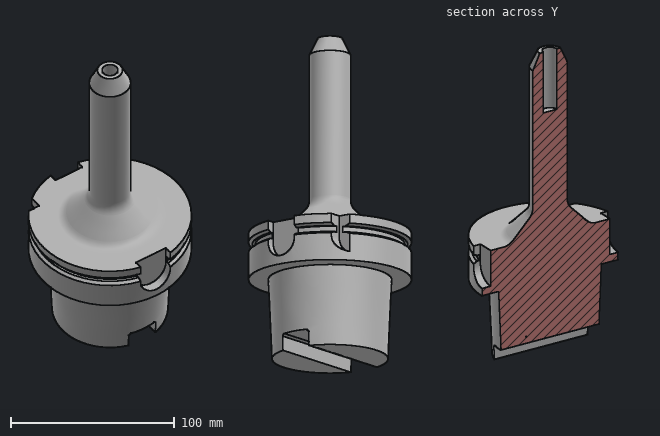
import cadquery as cq
import math

total_height = 202.5
flange_bottom = 50.0
flange_top = 79.1

shank_bottom_radius = 35.6
shank_top_radius = 37.8
drive_slot_width = 20.0
drive_slot_height = 10.3
drive_slot_chamfer = 1.5

flange_radius = 50.0
groove_floor_radius = 46.0
groove_bottom = 68.5
groove_top = 72.0
groove_lip_width = 2.2
groove_lip_height = 1.5

notch_bottom = 55.3
left_notch_width = 20.0
left_notch_floor = 44.0
right_notch_width = 22.3
right_notch_floor = 43.7
corner_notch_inset = 31.2

neck_base_radius = 34.0
blend_radius = 10.0
cone_angle = math.radians(45)

stem_radius = 12.8
tip_radius = 7.7
tip_height = 10.5
bore_radius = 4.9
bore_depth = 40.5


def make_body():
    """Revolve the outer profile around the Z axis."""
    blend_sine = blend_radius * math.sin(cone_angle)
    blend_rise = blend_radius * (1 - math.cos(cone_angle))
    half_sine = blend_radius * math.sin(cone_angle / 2)
    half_rise = blend_radius * (1 - math.cos(cone_angle / 2))

    cone_base_radius = neck_base_radius - blend_sine
    cone_base = flange_top + blend_rise
    cone_top_radius = stem_radius + blend_rise
    cone_top = cone_base + (cone_base_radius - cone_top_radius) * math.tan(cone_angle)
    stem_bottom = cone_top + blend_sine
    lip_radius = flange_radius - groove_lip_width

    profile = (
        cq.Workplane("XZ")
        .moveTo(0, 0)
        .lineTo(shank_bottom_radius, 0)
        .lineTo(shank_top_radius, flange_bottom)
        .lineTo(flange_radius, flange_bottom)
        .lineTo(flange_radius, groove_bottom - groove_lip_height)
        .lineTo(lip_radius, groove_bottom)
        .lineTo(groove_floor_radius, groove_bottom)
        .lineTo(groove_floor_radius, groove_top)
        .lineTo(lip_radius, groove_top)
        .lineTo(flange_radius, groove_top + groove_lip_height)
        .lineTo(flange_radius, flange_top)
        .lineTo(neck_base_radius, flange_top)
        .threePointArc(
            (neck_base_radius - half_sine, flange_top + half_rise),
            (cone_base_radius, cone_base),
        )
        .lineTo(cone_top_radius, cone_top)
        .threePointArc(
            (stem_radius + half_rise, stem_bottom - half_sine),
            (stem_radius, stem_bottom),
        )
        .lineTo(stem_radius, total_height - tip_height)
        .lineTo(tip_radius, total_height)
        .lineTo(0, total_height)
        .close()
    )
    return profile.revolve(360, (0, 0, 0), (0, 1, 0))


def make_notch(start_x, end_x, center_y, width):
    """Cutter running along X: a slot open at the top with a half-round bottom."""
    radius = width / 2
    arc_height = notch_bottom + radius
    return (
        cq.Workplane("YZ", origin=(start_x, 0, 0))
        .moveTo(center_y - radius, flange_top)
        .lineTo(center_y - radius, arc_height)
        .threePointArc((center_y, notch_bottom), (center_y + radius, arc_height))
        .lineTo(center_y + radius, flange_top)
        .close()
        .extrude(end_x - start_x)
    )


def make_drive_slot():
    """Cutter for the slot across the shank end, with chamfered upper corners."""
    return (
        cq.Workplane("XY")
        .box(2 * flange_radius, drive_slot_width, drive_slot_height, centered=(True, True, False))
        .edges("|X and >Z")
        .chamfer(drive_slot_chamfer)
    )


def make_bore():
    """Cutter for the blind bore in the tip of the stem."""
    return (
        cq.Workplane("XY", origin=(0, 0, total_height - bore_depth))
        .circle(bore_radius)
        .extrude(bore_depth)
    )


left_notch = make_notch(-flange_radius, -left_notch_floor, 0, left_notch_width)
right_notch = make_notch(right_notch_floor, flange_radius, 0, right_notch_width)
corner_notch = make_notch(
    -flange_radius,
    -corner_notch_inset,
    -corner_notch_inset - left_notch_width / 2,
    left_notch_width,
)

result = make_body()
for cutter in (left_notch, right_notch, corner_notch, make_drive_slot(), make_bore()):
    result = result.cut(cutter)